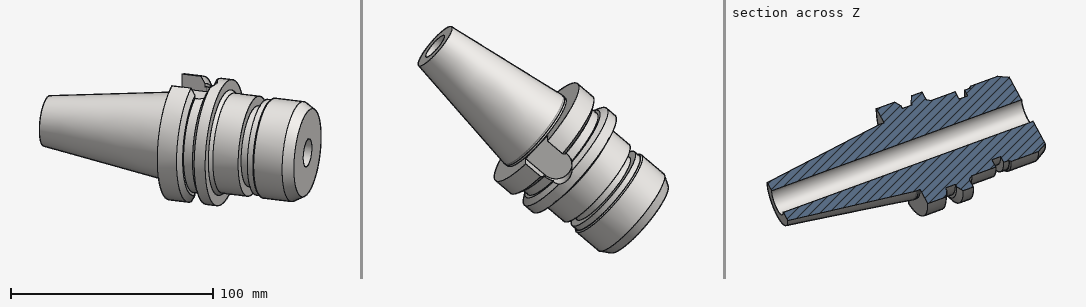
import cadquery as cq
import math


total_length = 135.4
bore_diameter = 14.0

gauge_diameter = 44.4
taper_length = 65.4
taper_ratio = 7 / 24
taper_land_length = 1.0
relief_diameter = 44.1

flange_diameter = 63.0
flange_back_x = 67.4
flange_front_x = 92.3
groove_start_x = 77.5
groove_end_x = 86.7
groove_bevel_length = 2.0
groove_bevel_angle = 60.0
groove_floor_diameter = 52.8

body_diameter = 50.0
body_front_x = 107.4
body_root_length = 1.9
body_root_height = 1.4
neck_diameter = 40.3

nut_collar_x = 111.8
nut_collar_diameter = 47.9
nut_x = 114.8
nut_back_chamfer = 0.7
nut_front_length = 5.1
nut_front_angle = 30.0

slot_width = 16.1
slot_floor_height = 22.6
slot_end_x = 88.3

small_end_diameter = gauge_diameter - taper_length * taper_ratio
flange_radius = flange_diameter / 2
body_radius = body_diameter / 2
bevel_depth = groove_bevel_length * math.tan(math.radians(groove_bevel_angle))
nut_front_drop = nut_front_length * math.tan(math.radians(nut_front_angle))


def make_turned_body():
    """Half profile, listed as (x, radius), revolved around X."""
    relief_x = taper_length + taper_land_length
    profile = [
        (0, 0),
        (0, small_end_diameter / 2),
        (taper_length, gauge_diameter / 2),
        (relief_x, gauge_diameter / 2),
        (relief_x, relief_diameter / 2),
        (flange_back_x, relief_diameter / 2),
        (flange_back_x, flange_radius),
        (groove_start_x, flange_radius),
        (groove_start_x + groove_bevel_length, flange_radius - bevel_depth),
        (groove_start_x + groove_bevel_length, groove_floor_diameter / 2),
        (groove_end_x - groove_bevel_length, groove_floor_diameter / 2),
        (groove_end_x - groove_bevel_length, flange_radius - bevel_depth),
        (groove_end_x, flange_radius),
        (flange_front_x, flange_radius),
        (flange_front_x, body_radius + body_root_height),
        (flange_front_x + body_root_length, body_radius),
        (body_front_x, body_radius),
        (body_front_x, neck_diameter / 2),
        (nut_collar_x, neck_diameter / 2),
        (nut_collar_x, nut_collar_diameter / 2),
        (nut_x, nut_collar_diameter / 2),
        (nut_x, body_radius - nut_back_chamfer),
        (nut_x + nut_back_chamfer, body_radius),
        (total_length - nut_front_length, body_radius),
        (total_length, body_radius - nut_front_drop),
        (total_length, 0),
    ]
    return cq.Workplane("XY").polyline(profile).close().revolve(360, (0, 0), (1, 0))


def make_drive_slot():
    """Upper key slot: open at the taper side, round at the other end."""
    end_radius = slot_width / 2
    straight_length = slot_end_x - end_radius - flange_back_x
    return (
        cq.Workplane("XY", origin=(flange_back_x, 0, slot_floor_height))
        .moveTo(0, -end_radius)
        .lineTo(straight_length, -end_radius)
        .threePointArc((straight_length + end_radius, 0), (straight_length, end_radius))
        .lineTo(0, end_radius)
        .close()
        .extrude(flange_radius)
    )


bore = cq.Workplane("YZ").circle(bore_diameter / 2).extrude(total_length)
upper_slot = make_drive_slot()
lower_slot = upper_slot.mirror("XY")

result = make_turned_body().cut(bore).cut(upper_slot).cut(lower_slot)